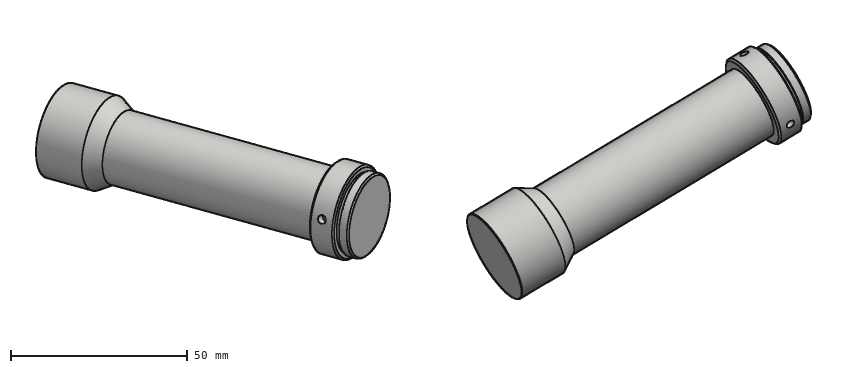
import cadquery as cq
import math

total_length = 100.5
head_length = 15.0
taper_length = 5.0
collar_start = 88.4
collar_end = 96.4
lip_start = 97.5

head_diameter = 28.0
tube_diameter = 22.0
collar_diameter = head_diameter
neck_diameter = 24.0
lip_diameter = 25.2

head_chamfer = 0.2
collar_chamfer = 0.6
collar_back_chamfer_length = 0.4
lip_chamfer = 0.5

hole_station = 92.5
hole_diameter = 2.5
hole_depth = 3.0
drill_tip_angle = 118.0
hole_count = 3
first_hole_angle = 45.0


def disc(start, end, diameter):
    """Cylinder on the X axis between two stations."""
    return cq.Workplane("YZ", origin=(start, 0, 0)).circle(diameter / 2).extrude(end - start)


def make_taper():
    """Cone narrowing from the head to the tube."""
    cone = cq.Solid.makeCone(
        head_diameter / 2,
        tube_diameter / 2,
        taper_length,
        pnt=cq.Vector(head_length, 0, 0),
        dir=cq.Vector(1, 0, 0),
    )
    return cq.Workplane(obj=cone)


def make_hole(angle):
    """Drilled hole pointing at the axis from the given angle."""
    outward = cq.Vector(0, math.cos(math.radians(angle)), math.sin(math.radians(angle)))
    floor_radius = collar_diameter / 2 - hole_depth
    floor_center = cq.Vector(hole_station, 0, 0) + outward * floor_radius
    hole_radius = hole_diameter / 2
    tip_height = hole_radius / math.tan(math.radians(drill_tip_angle / 2))
    shank = cq.Solid.makeCylinder(hole_radius, 2 * hole_depth, floor_center, outward)
    tip = cq.Solid.makeCone(hole_radius, 0, tip_height, floor_center, outward * -1)
    return cq.Workplane(obj=shank.fuse(tip))


head = disc(0, head_length, head_diameter).faces("<X").edges().chamfer(head_chamfer)
tube = disc(head_length + taper_length, collar_start, tube_diameter)
collar = disc(collar_start, collar_end, collar_diameter)
collar = collar.faces("<X").edges().chamfer(collar_chamfer)
collar = collar.faces(">X").edges().chamfer(collar_back_chamfer_length, collar_chamfer)
neck = disc(collar_end, lip_start, neck_diameter)
lip = disc(lip_start, total_length, lip_diameter).faces(">X").edges().chamfer(lip_chamfer)

result = head.union(make_taper()).union(tube).union(collar).union(neck).union(lip)

for index in range(hole_count):
    result = result.cut(make_hole(first_hole_angle + index * 360 / hole_count))